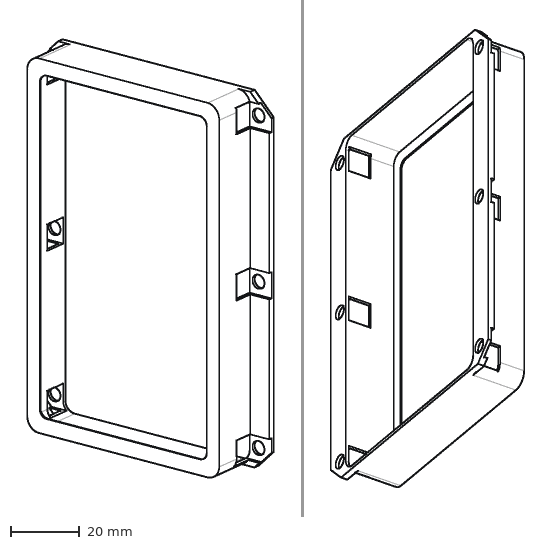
import cadquery as cq

frame_width = 70.2
frame_height = 116.05
frame_depth = 17.04
wall = 1.085
corner_radius = 4.34

lip_thickness = 0.45
lip_opening_width = 61.0
lip_opening_height = 106.3
lip_opening_radius = 2.6
lip_opening_shift = 0.1

flange_reach = 7.0
flange_thickness = 2.17
top_chamfer = 7.0
bottom_chamfer = 5.5

hole_diameter = 4.34
hole_pitch = 51.5
hole_row_offset = -0.65
notch_height = 8.15
notch_floor = 1.085
notch_front_from_back = 8.68

flange_width = frame_width + 2 * flange_reach
hole_x = frame_width / 2 + hole_diameter / 2
hole_heights = [hole_row_offset + step * hole_pitch for step in (-1, 0, 1)]


def rounded_block(width, height, radius, y_start, depth):
    """Block centred on the Y axis, rounded along Y, running from y_start towards +Y."""
    block = cq.Workplane("XY").box(width, depth, height, centered=(True, False, True))
    return block.edges("|Y").fillet(radius).translate((0, y_start, 0))


def make_flange_plate():
    """Full back plate whose sides become the two flanges."""
    plate = cq.Workplane("XY").box(
        flange_width, flange_thickness, frame_height, centered=(True, False, True)
    )
    plate = plate.edges("|Y and >Z").chamfer(top_chamfer)
    plate = plate.edges("|Y and <Z").chamfer(bottom_chamfer)
    return plate.translate((0, frame_depth - flange_thickness, 0))


def make_frame_cavity():
    """Hollow inside the wall, open at the back and stopping at the lip."""
    return rounded_block(
        frame_width - 2 * wall,
        frame_height - 2 * wall,
        corner_radius - wall,
        lip_thickness,
        frame_depth - lip_thickness,
    )


def make_lip_opening():
    """Window through the front lip."""
    opening = rounded_block(
        lip_opening_width, lip_opening_height, lip_opening_radius, 0, frame_depth
    )
    return opening.translate((0, 0, lip_opening_shift))


def make_notch(z):
    """Cut across both side walls and flanges at height z."""
    notch_depth = notch_front_from_back - notch_floor
    notch = cq.Workplane("XY").box(
        flange_width, notch_depth, notch_height, centered=(True, False, True)
    )
    return notch.translate((0, frame_depth - notch_front_from_back, z))


def make_screw_holes(z):
    """Left and right flange holes at height z."""
    return (
        cq.Workplane("XZ", origin=(0, frame_depth, z))
        .pushPoints([(-hole_x, 0), (hole_x, 0)])
        .circle(hole_diameter / 2)
        .extrude(flange_thickness)
    )


result = rounded_block(frame_width, frame_height, corner_radius, 0, frame_depth)
result = result.union(make_flange_plate())
result = result.cut(make_frame_cavity()).cut(make_lip_opening())
for height in hole_heights:
    result = result.cut(make_notch(height)).cut(make_screw_holes(height))